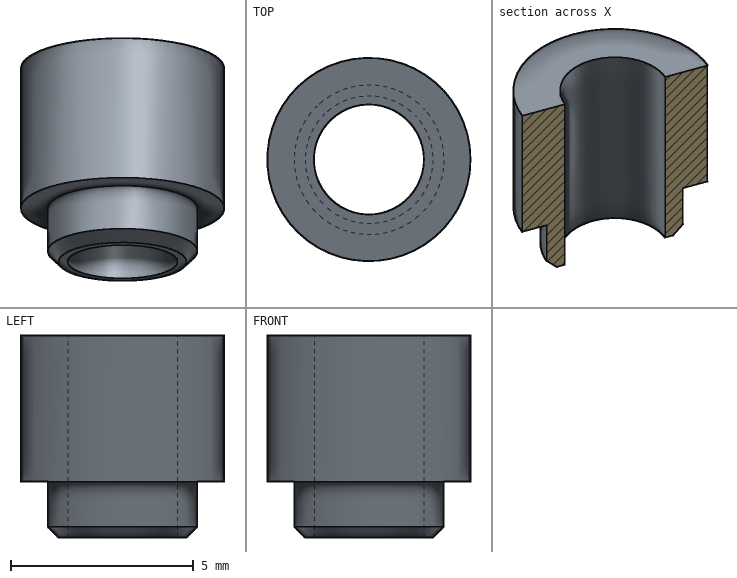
import cadquery as cq

body_diameter = 5.56
body_height = 4.0
shank_diameter = 4.09
shank_length = 1.53
shank_chamfer = 0.3
bore_diameter = 3.0


def make_body():
    """Wide cylinder standing on the shoulder plane Z = 0."""
    return cq.Workplane("XY").circle(body_diameter / 2).extrude(body_height)


def make_shank():
    """Narrow cylinder below the shoulder, chamfered at its free end."""
    shank = cq.Workplane("XY").circle(shank_diameter / 2).extrude(-shank_length)
    return shank.faces("<Z").edges().chamfer(shank_chamfer)


def make_bore():
    """Cutter for the hole that runs through the full height."""
    bore_length = body_height + shank_length
    bottom = cq.Workplane("XY").workplane(offset=-shank_length)
    return bottom.circle(bore_diameter / 2).extrude(bore_length)


result = make_body().union(make_shank()).cut(make_bore())